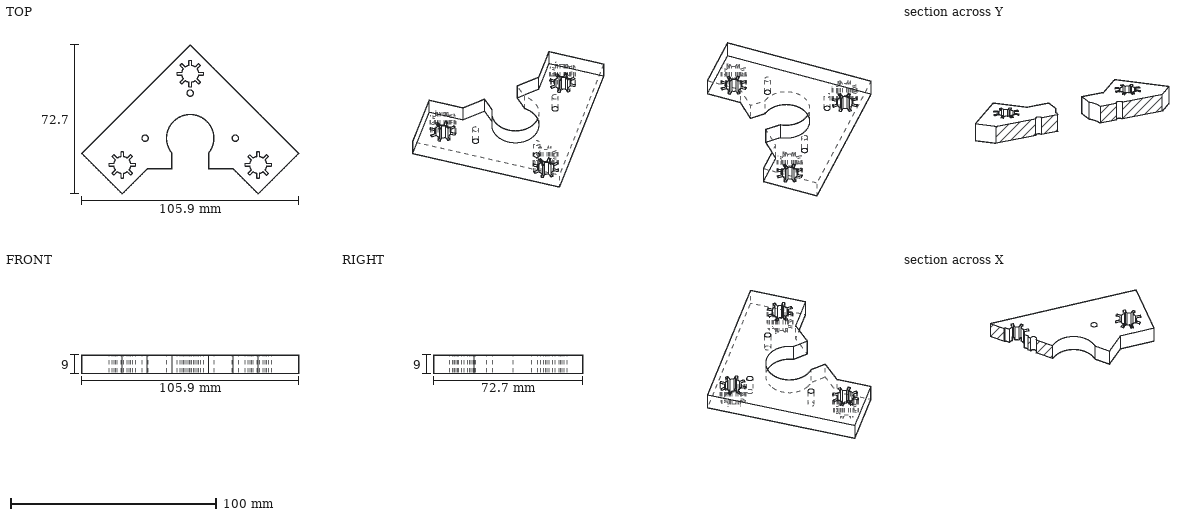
import cadquery as cq
import math

thickness = 9.0
half_span = 105.9 / 2
arm_width = 28.0
apex_y = 45.55
inner_edge_y = -15.0

bore_diameter = 23.0
throat_width = 18.0

screw_hole_diameter = 3.0
screw_circle_radius = 22.0
screw_angles = (0, 90, 180)

star_bore_diameter = 8.2
star_tip_diameter = 12.8
star_slot_width = 1.2
star_slot_count = 8
star_edge_inset = 10.0

tip_y = apex_y - half_span
arm_end_step = arm_width / math.sqrt(2)
foot_x = half_span - arm_end_step
foot_y = tip_y - arm_end_step
inner_corner_x = foot_x - (inner_edge_y - foot_y)

star_offset = star_edge_inset * math.sqrt(2)
star_centers = [
    (0, apex_y - star_offset),
    (-foot_x, foot_y + star_offset),
    (foot_x, foot_y + star_offset),
]


def make_plate():
    outline = [
        (0, apex_y),
        (half_span, tip_y),
        (foot_x, foot_y),
        (inner_corner_x, inner_edge_y),
        (-inner_corner_x, inner_edge_y),
        (-foot_x, foot_y),
        (-half_span, tip_y),
    ]
    return cq.Workplane("XY").polyline(outline).close().extrude(thickness)


def make_keyhole():
    """Central bore with a straight throat open at the inner edge."""
    bore = cq.Workplane("XY").circle(bore_diameter / 2).extrude(thickness)
    throat_length = -inner_edge_y
    throat = (
        cq.Workplane("XY")
        .center(0, inner_edge_y / 2)
        .rect(throat_width, throat_length)
        .extrude(thickness)
    )
    return bore.union(throat)


def make_screw_holes():
    centers = []
    for angle in screw_angles:
        direction = math.radians(angle)
        x = screw_circle_radius * math.cos(direction)
        y = screw_circle_radius * math.sin(direction)
        centers.append((x, y))
    return cq.Workplane("XY").pushPoints(centers).circle(screw_hole_diameter / 2).extrude(thickness)


def make_star():
    """Through bore with radial slots, centred on the Z axis."""
    star = cq.Workplane("XY").circle(star_bore_diameter / 2).extrude(thickness)
    slot_bar = cq.Workplane("XY").rect(star_tip_diameter, star_slot_width).extrude(thickness)
    for index in range(star_slot_count // 2):
        angle = index * 360 / star_slot_count
        star = star.union(slot_bar.rotate((0, 0, 0), (0, 0, 1), angle))
    return star


result = make_plate().cut(make_keyhole()).cut(make_screw_holes())
star_cutter = make_star()
for center_x, center_y in star_centers:
    result = result.cut(star_cutter.translate((center_x, center_y, 0)))